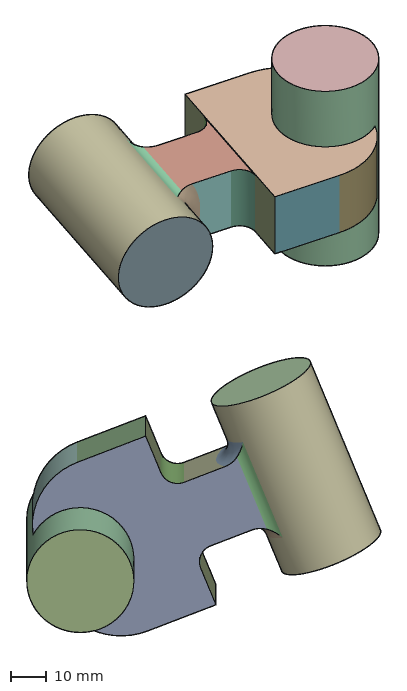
import math

import cadquery as cq

shaft_radius = 15.0
part_width = 53.0
pin_offset = 65.0
pin_bottom = -32.0
pin_top = 30.0
neck_size = 20.0
neck_length = 34.7
fillet_radius = 5.0
block_top_step = 0.3
block_corner_radius = 20.0
block_corner_offset = 9.7
selection_margin = 0.1

neck_half = neck_size / 2
block_back = pin_offset - block_corner_offset + block_corner_radius
block_length = block_back - neck_length
block_height = neck_size + block_top_step


def cross_barrel():
    """Horizontal cylinder along X."""
    return (
        cq.Workplane("YZ")
        .circle(shaft_radius)
        .extrude(part_width / 2, both=True)
    )


def barrel_with_neck():
    """Barrel and square neck, blended by fillets all round their joint."""
    neck = (
        cq.Workplane("XZ")
        .rect(neck_size, neck_size)
        .extrude(-neck_length)
    )
    reach = neck_half + selection_margin
    joint = cq.selectors.BoxSelector(
        (-reach, 0, -reach),
        (reach, shaft_radius + selection_margin, reach),
        boundingbox=True,
    )
    return cross_barrel().union(neck).edges(joint).fillet(fillet_radius)


def neck_flare(side):
    """Concave flare widening the neck where it meets the block; side is -1 or 1."""
    neck_edge = side * neck_half
    flare_edge = side * (neck_half + fillet_radius)
    flare_start = neck_length - fillet_radius
    diagonal = fillet_radius / math.sqrt(2)
    return (
        cq.Workplane("XY", origin=(0, 0, -neck_half))
        .moveTo(neck_edge, flare_start)
        .threePointArc(
            (flare_edge - side * diagonal, flare_start + diagonal),
            (flare_edge, neck_length),
        )
        .lineTo(neck_edge, neck_length)
        .close()
        .extrude(neck_size)
    )


def block():
    """Plate around the pin, flush with the neck underneath, rear corners rounded."""
    return (
        cq.Workplane("XY", origin=(0, neck_length, -neck_half))
        .box(part_width, block_length, block_height, centered=(True, False, False))
        .edges("|Z and >Y")
        .fillet(block_corner_radius)
    )


def pin():
    """Vertical cylinder through the block."""
    return (
        cq.Workplane("XY", origin=(0, pin_offset, pin_bottom))
        .circle(shaft_radius)
        .extrude(pin_top - pin_bottom)
    )


result = barrel_with_neck().union(block()).union(pin())
for flare_side in (-1, 1):
    result = result.union(neck_flare(flare_side))